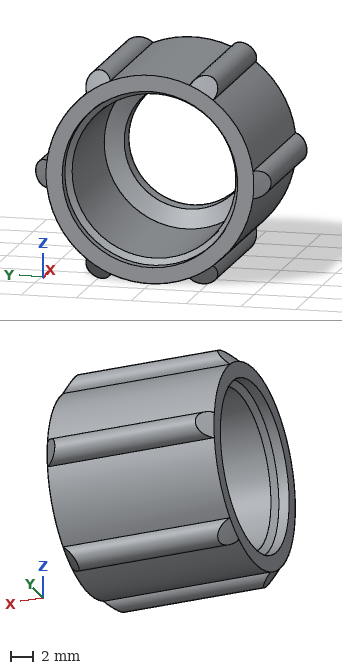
import cadquery as cq
import math

length = 16.0
outer_diameter = 18.94
overall_width = 21.47
rib_count = 6

mouth_diameter = 16.0
socket_diameter = 14.92
hole_entry_diameter = 11.72
hole_exit_diameter = 11.6
mouth_depth = 0.99
step_depth = (mouth_diameter - socket_diameter) / 2
seat_angle = 30.0
seat_depth = (socket_diameter - hole_entry_diameter) / 2 * math.tan(math.radians(seat_angle))
hole_length = 1.5

outer_radius = outer_diameter / 2
rib_radius = 1.25
rib_centre = overall_width / 2 - rib_radius
half_length = length / 2


def revolve_about_axis(section):
    """Turn a closed outline of (x, radius) points about the X axis."""
    return cq.Workplane("XY").polyline(section).close().revolve(360, (0, 0, 0), (1, 0, 0))


def make_sleeve():
    """Hollow sleeve with the stepped bore."""
    hole_start = half_length - hole_length
    section = [
        (-half_length, outer_radius),
        (half_length, outer_radius),
        (half_length, hole_exit_diameter / 2),
        (hole_start, hole_entry_diameter / 2),
        (hole_start - seat_depth, socket_diameter / 2),
        (-half_length + mouth_depth + step_depth, socket_diameter / 2),
        (-half_length + mouth_depth, mouth_diameter / 2),
        (-half_length, mouth_diameter / 2),
    ]
    return revolve_about_axis(section)


def make_ribs():
    """Round bars evenly spaced around the sleeve, their ends bevelled by a shared 45 degree cone."""
    bars = (
        cq.Workplane("YZ", origin=(-half_length, 0, 0))
        .polarArray(rib_centre, 0, 360, rib_count)
        .circle(rib_radius)
        .extrude(length)
    )
    tip_radius = overall_width / 2
    bevel = tip_radius - outer_radius
    wall_middle = (outer_radius + mouth_diameter / 2) / 2
    envelope = revolve_about_axis([
        (-half_length, wall_middle),
        (-half_length, outer_radius),
        (-half_length + bevel, tip_radius),
        (half_length - bevel, tip_radius),
        (half_length, outer_radius),
        (half_length, wall_middle),
    ])
    return bars.intersect(envelope)


result = make_sleeve().union(make_ribs())